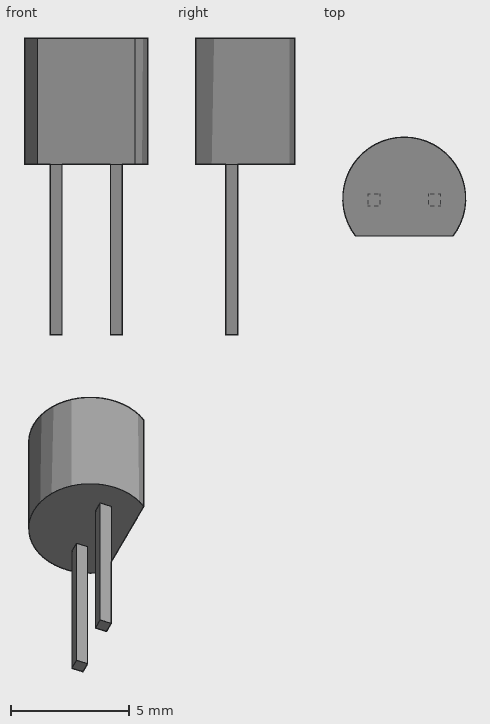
import cadquery as cq
import math

total_height = 12.53
housing_height = 5.33
housing_diameter = 5.2
housing_depth = 4.19
lead_width = 0.51
lead_pitch = 2.54
lead_y = -0.06

housing_radius = housing_diameter / 2
flat_y = housing_radius - housing_depth
flat_half_width = math.sqrt(housing_radius**2 - flat_y**2)
lead_length = total_height - housing_height


def make_housing():
    """Cylinder with a flat front; its underside is at Z = 0."""
    return (
        cq.Workplane("XY")
        .moveTo(-flat_half_width, flat_y)
        .threePointArc((0, housing_radius), (flat_half_width, flat_y))
        .close()
        .extrude(housing_height)
    )


def make_lead(x):
    """Square lead hanging from the underside of the housing."""
    return cq.Workplane("XY").center(x, lead_y).rect(lead_width, lead_width).extrude(-lead_length)


housing = make_housing()
leads = [make_lead(side * lead_pitch / 2) for side in (-1, 1)]

result = cq.Compound.makeCompound([housing.val(), *[lead.val() for lead in leads]])